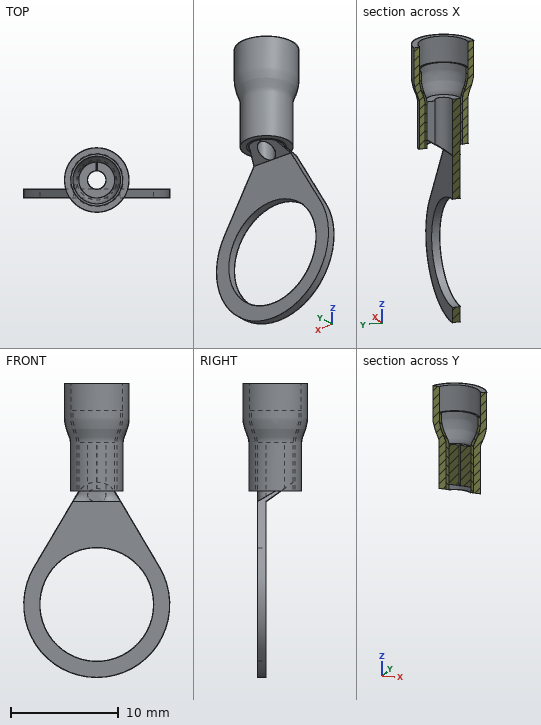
import cadquery as cq
import math

TOTAL_HEIGHT = 27.3

SLEEVE_LENGTH = 10.0
ENTRY_RADIUS = 3.0
GRIP_RADIUS = 2.45
SLEEVE_WALL = 0.6
ENTRY_DEPTH = 3.25
NECK_LENGTH = 2.2
NECK_ANGLE = math.radians(20)
UPPER_ARC_HEIGHT = 0.98
LOWER_ARC_HEIGHT = 0.4

LINER_DEPTH = 2.5
LINER_WALL = 0.2

RING_DIAMETER = 13.57
RING_HOLE_RADIUS = 5.27
TONGUE_THICKNESS = 0.82
TONGUE_TOP_HALF_WIDTH = 2.25
TONGUE_TOP = 16.33
SEAM_WIDTH = 0.08
CHORD_Y = 0.52

RING_RADIUS = RING_DIAMETER / 2
SLEEVE_BOTTOM = TOTAL_HEIGHT - SLEEVE_LENGTH
NECK_TOP = TOTAL_HEIGHT - ENTRY_DEPTH
NECK_BOTTOM = NECK_TOP - NECK_LENGTH
BARREL_RADIUS = GRIP_RADIUS - SLEEVE_WALL - LINER_WALL
BORE_RADIUS = BARREL_RADIUS - TONGUE_THICKNESS
TONGUE_FRONT = -BARREL_RADIUS
TONGUE_BACK = TONGUE_FRONT + TONGUE_THICKNESS


def stepped_core(inset, top):
    """Solid bounded by the sleeve's outer surface moved inward, from its bottom up to top."""
    entry = ENTRY_RADIUS - inset
    grip = GRIP_RADIUS - inset

    def arc_inset(height, angle):
        return height / math.sin(NECK_ANGLE) * (1 - math.cos(angle))

    def arc_drop(height, angle):
        return height * math.sin(angle) / math.sin(NECK_ANGLE)

    half = NECK_ANGLE / 2
    upper_mid = (
        entry - arc_inset(UPPER_ARC_HEIGHT, half),
        NECK_TOP - arc_drop(UPPER_ARC_HEIGHT, half),
    )
    upper_end = (entry - arc_inset(UPPER_ARC_HEIGHT, NECK_ANGLE), NECK_TOP - UPPER_ARC_HEIGHT)
    lower_mid = (
        grip + arc_inset(LOWER_ARC_HEIGHT, half),
        NECK_BOTTOM + arc_drop(LOWER_ARC_HEIGHT, half),
    )
    lower_end = (grip + arc_inset(LOWER_ARC_HEIGHT, NECK_ANGLE), NECK_BOTTOM + LOWER_ARC_HEIGHT)
    return (
        cq.Workplane("XZ")
        .moveTo(0, SLEEVE_BOTTOM)
        .lineTo(grip, SLEEVE_BOTTOM)
        .lineTo(grip, NECK_BOTTOM)
        .threePointArc(lower_mid, lower_end)
        .lineTo(*upper_end)
        .threePointArc(upper_mid, (entry, NECK_TOP))
        .lineTo(entry, top)
        .lineTo(0, top)
        .close()
        .revolve(360, (0, 0, 0), (0, 1, 0))
    )


def make_sleeve():
    return stepped_core(0, TOTAL_HEIGHT).cut(stepped_core(SLEEVE_WALL, TOTAL_HEIGHT))


def make_liner():
    rim = TOTAL_HEIGHT - LINER_DEPTH
    return stepped_core(SLEEVE_WALL, rim).cut(stepped_core(SLEEVE_WALL + LINER_WALL, rim))


def make_tongue():
    """Flat ring whose straight sides leave the circle tangentially and run up to the barrel."""
    rise = TONGUE_TOP - RING_RADIUS
    reach = math.hypot(TONGUE_TOP_HALF_WIDTH, rise)
    tangent_angle = math.atan2(rise, TONGUE_TOP_HALF_WIDTH) - math.acos(RING_RADIUS / reach)
    tangent_x = RING_RADIUS * math.cos(tangent_angle)
    tangent_z = RING_RADIUS + RING_RADIUS * math.sin(tangent_angle)
    return (
        cq.Workplane("XZ", origin=(0, TONGUE_BACK, 0))
        .moveTo(-TONGUE_TOP_HALF_WIDTH, TONGUE_TOP)
        .lineTo(-tangent_x, tangent_z)
        .threePointArc((0, 0), (tangent_x, tangent_z))
        .lineTo(TONGUE_TOP_HALF_WIDTH, TONGUE_TOP)
        .close()
        .moveTo(0, RING_RADIUS)
        .circle(RING_HOLE_RADIUS)
        .extrude(TONGUE_THICKNESS)
    )


def make_transition():
    """Loft from the flat tongue end to the front part of the barrel circle."""
    def barrel_point(angle):
        x = BARREL_RADIUS * math.cos(angle)
        y = BARREL_RADIUS * math.sin(angle)
        return cq.Vector(x, y, SLEEVE_BOTTOM)

    chord_angle = math.asin(CHORD_Y / BARREL_RADIUS)
    angles = [math.pi - chord_angle, math.pi, 2 * math.pi, 2 * math.pi + chord_angle]
    arcs = [
        cq.Edge.makeThreePointArc(barrel_point(start), barrel_point((start + end) / 2), barrel_point(end))
        for start, end in zip(angles, angles[1:])
    ]
    chord = cq.Edge.makeLine(barrel_point(angles[-1]), barrel_point(angles[0]))
    barrel_wire = cq.Wire.assembleEdges(arcs + [chord])
    half_width = TONGUE_TOP_HALF_WIDTH
    tongue_wire = cq.Wire.makePolygon(
        [
            cq.Vector(-half_width, TONGUE_BACK, TONGUE_TOP),
            cq.Vector(-half_width, TONGUE_FRONT, TONGUE_TOP),
            cq.Vector(half_width, TONGUE_FRONT, TONGUE_TOP),
            cq.Vector(half_width, TONGUE_BACK, TONGUE_TOP),
        ],
        close=True,
    )
    return cq.Workplane(cq.Solid.makeLoft([tongue_wire, barrel_wire], True))


def make_barrel():
    """Solid barrel whose lower end continues the sloping back of the transition."""
    slope = (SLEEVE_BOTTOM - TONGUE_TOP) / (CHORD_Y - TONGUE_BACK)
    slope_top = SLEEVE_BOTTOM + slope * (BARREL_RADIUS - CHORD_Y)
    barrel = (
        cq.Workplane("XY", origin=(0, 0, SLEEVE_BOTTOM))
        .circle(BARREL_RADIUS)
        .extrude(NECK_BOTTOM - SLEEVE_BOTTOM)
    )
    wedge = (
        cq.Workplane("YZ")
        .moveTo(CHORD_Y, SLEEVE_BOTTOM)
        .lineTo(BARREL_RADIUS, SLEEVE_BOTTOM)
        .lineTo(BARREL_RADIUS, slope_top)
        .close()
        .extrude(BARREL_RADIUS, both=True)
    )
    return barrel.cut(wedge)


def make_terminal():
    bore_length = NECK_BOTTOM - TONGUE_TOP
    base = cq.Workplane("XY", origin=(0, 0, TONGUE_TOP))
    bore = base.circle(BORE_RADIUS).extrude(bore_length)
    seam = base.center(0, BARREL_RADIUS / 2).rect(SEAM_WIDTH, BARREL_RADIUS).extrude(bore_length)
    neck = make_barrel().union(make_transition()).cut(bore).cut(seam)
    return neck.union(make_tongue())


sleeve = make_sleeve()
liner = make_liner()
terminal = make_terminal()

result = cq.Compound.makeCompound([sleeve.solids().val(), liner.solids().val(), terminal.solids().val()])